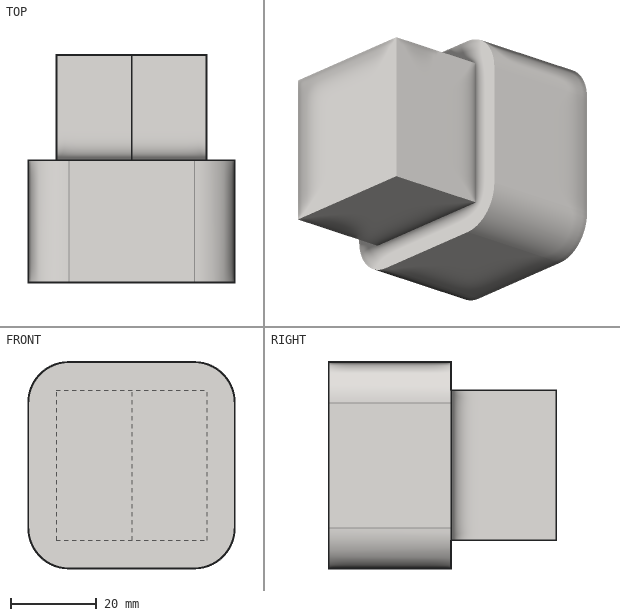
import cadquery as cq

total_length = 53.15
head_width = 48.2
head_length = 28.6
head_corner_radius = 9.5
stem_width = 35.1

stem_length = total_length - head_length
stem_half_width = stem_width / 2


def make_head():
    """Square block with its four long edges rounded."""
    return (
        cq.Workplane("XY")
        .box(head_width, head_length, head_width, centered=(True, False, True))
        .edges("|Y")
        .fillet(head_corner_radius)
    )


def make_stem_half(side):
    """One half of the square stem behind the head; side is -1 for -X and +1 for +X."""
    return (
        cq.Workplane("XY")
        .box(stem_half_width, stem_length, stem_width, centered=(True, False, True))
        .translate((side * stem_half_width / 2, head_length, 0))
    )


head = make_head()
stem_halves = [make_stem_half(side) for side in (-1, 1)]

result = cq.Compound.makeCompound([head.val(), *[half.val() for half in stem_halves]])